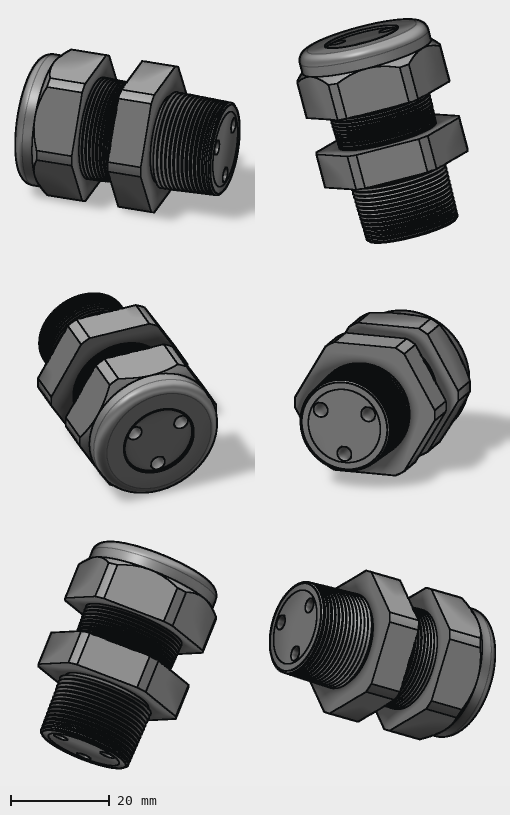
import cadquery as cq
import math


LENGTH = 40.9
DOME_FILLET = 2.05
DOME_LENGTH = 4.2
CAP_END = 13.2
NUT_START = 20.9
NUT_END = 27.95

ACROSS_FLATS = 26.9
CORNER_DIAMETER = 29.9
FLAT_RADIUS = ACROSS_FLATS / 2
CORNER_RADIUS = CORNER_DIAMETER / 2

FLANK_ANGLE = math.radians(60)
FLANK_SLOPE = math.tan(FLANK_ANGLE)

MIDDLE_ROOT_RADIUS = 9.85
MIDDLE_FIRST_RIDGE = 13.15
MIDDLE_LAST_RIDGE = 20.77
MIDDLE_RIDGES = 11
MIDDLE_FRONT_CREST = 10.45
MIDDLE_REAR_CREST = 10.15

END_ROOT_RADIUS = 9.1
END_FIRST_RIDGE = 28.9
END_LAST_RIDGE = 40.3
END_RIDGES = 14
END_FRONT_CREST = 9.9
END_REAR_CREST = 9.53
NECK_RADIUS = 9.0

INSERT_RADIUS = 7.7
CUP_WALL = 0.25
CUP_DEPTH = 0.5
HOLE_DIAMETER = 3.03
HOLE_CIRCLE_RADIUS = 5.85
HOLE_ANGLES = (-90, 30, 150)


def cylinder(radius, start, end):
    return cq.Workplane("YZ", origin=(start, 0, 0)).circle(radius).extrude(end - start)


def rounded_hexagon(start, end):
    """Hexagonal prism with two flats facing up and down and its corners cut to a cylinder."""
    sharp_corner_diameter = ACROSS_FLATS / math.cos(math.radians(30))
    prism = cq.Workplane("YZ", origin=(start, 0, 0)).polygon(6, sharp_corner_diameter).extrude(end - start)
    return prism.intersect(cylinder(CORNER_RADIUS, start, end))


def cap():
    """Domed front hexagon: a filleted disc that flares at 45 degrees into the hexagon."""
    flare_end = DOME_LENGTH + CORNER_RADIUS - FLAT_RADIUS
    dome = cylinder(FLAT_RADIUS, 0, DOME_LENGTH).faces("<X").edges().fillet(DOME_FILLET)
    envelope = (
        cq.Workplane("XY")
        .moveTo(DOME_LENGTH, 0)
        .lineTo(DOME_LENGTH, FLAT_RADIUS)
        .lineTo(flare_end, CORNER_RADIUS)
        .lineTo(CAP_END, CORNER_RADIUS)
        .lineTo(CAP_END, 0)
        .close()
        .revolve(360, (0, 0, 0), (1, 0, 0))
    )
    return dome.union(rounded_hexagon(DOME_LENGTH, CAP_END).intersect(envelope))


def ridge_outline(root_radius, first_ridge, last_ridge, count, front_crest, rear_crest):
    """Half-section points of a row of ridges, from the front root to the rear root."""
    pitch = (last_ridge - first_ridge) / (count - 1)
    points = [(first_ridge - pitch / 2, root_radius)]
    for i in range(count):
        centre = first_ridge + i * pitch
        crest = front_crest + (rear_crest - front_crest) * i / (count - 1)
        half_tip = pitch / 2 - (crest - root_radius) / FLANK_SLOPE
        points.append((centre - half_tip, crest))
        points.append((centre + half_tip, crest))
        points.append((centre + pitch / 2, root_radius))
    return points


def middle_thread():
    """Thread between the hexagons; its end ridges run into them."""
    ridges = ridge_outline(
        MIDDLE_ROOT_RADIUS,
        MIDDLE_FIRST_RIDGE,
        MIDDLE_LAST_RIDGE,
        MIDDLE_RIDGES,
        MIDDLE_FRONT_CREST,
        MIDDLE_REAR_CREST,
    )
    start = ridges[0][0]
    end = ridges[-1][0]
    outline = [(start, 0), *ridges, (end, 0)]
    return cq.Workplane("XY").polyline(outline).close().revolve(360, (0, 0, 0), (1, 0, 0))


def end_thread():
    """Rear thread: a hollow-curved neck behind the hexagon, the ridges and a short plain lead."""
    ridges = ridge_outline(
        END_ROOT_RADIUS,
        END_FIRST_RIDGE,
        END_LAST_RIDGE,
        END_RIDGES,
        END_FRONT_CREST,
        END_REAR_CREST,
    )
    first_root = ridges[0]
    flank_foot = first_root[0] - (first_root[1] - NECK_RADIUS) / FLANK_SLOPE
    tangent_length = flank_foot - NUT_END
    arc_radius = tangent_length / math.tan(FLANK_ANGLE / 2)

    def neck_point(turn):
        return NUT_END + arc_radius * math.sin(turn), NECK_RADIUS + arc_radius * (1 - math.cos(turn))

    neck_end = neck_point(FLANK_ANGLE)
    outline = [neck_end, *ridges[1:], (LENGTH, END_ROOT_RADIUS), (LENGTH, 0)]
    return (
        cq.Workplane("XY")
        .moveTo(NUT_END, 0)
        .lineTo(NUT_END, NECK_RADIUS)
        .threePointArc(neck_point(FLANK_ANGLE / 2), neck_end)
        .polyline(outline, includeCurrent=False)
        .close()
        .revolve(360, (0, 0, 0), (1, 0, 0))
    )


def make_gland():
    """Cap, threads and fixed hexagon in one piece, bored through for the insert."""
    body = cap().union(middle_thread()).union(rounded_hexagon(NUT_START, NUT_END)).union(end_thread())
    return body.cut(cylinder(INSERT_RADIUS, 0, LENGTH))


def make_insert():
    """Plug filling the bore, cupped at the front and pierced by three cable holes."""
    plug = cylinder(INSERT_RADIUS, 0, LENGTH)
    cup = cylinder(INSERT_RADIUS - CUP_WALL, 0, CUP_DEPTH)
    hole_centres = [
        (HOLE_CIRCLE_RADIUS * math.cos(math.radians(angle)), HOLE_CIRCLE_RADIUS * math.sin(math.radians(angle)))
        for angle in HOLE_ANGLES
    ]
    holes = cq.Workplane("YZ").pushPoints(hole_centres).circle(HOLE_DIAMETER / 2).extrude(LENGTH)
    return plug.cut(cup).cut(holes)


gland = make_gland()
insert = make_insert()

result = cq.Compound.makeCompound([gland.solids().val(), insert.solids().val()])